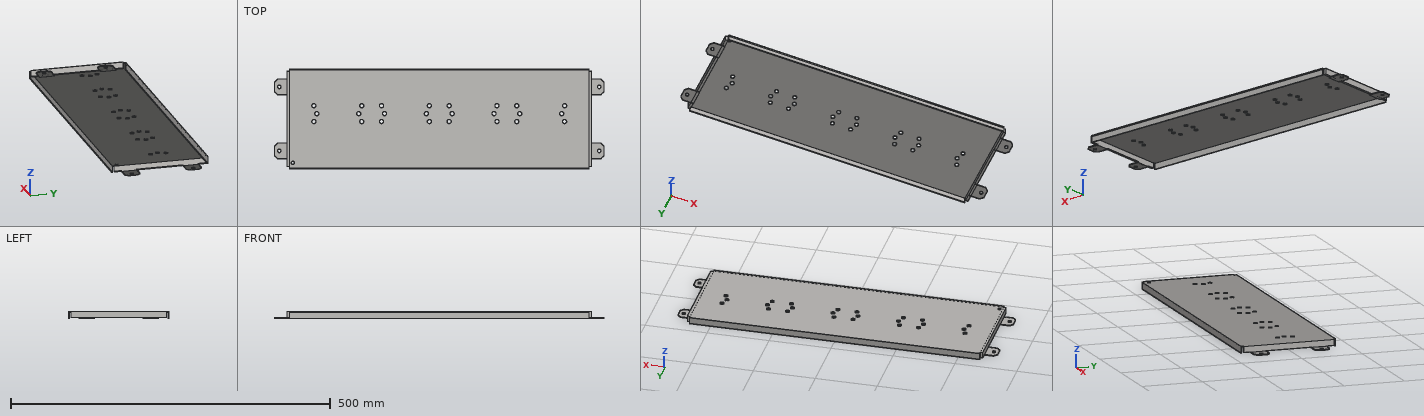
import cadquery as cq

total_length = 516.0
total_width = 157.0
total_height = 11.5

sheet = 1.5

tray_length = 477.0
end_wall = 4.0
end_flange_width = 149.5
side_flange_length = 468.5

tab_width = 25.0
tab_corner = 5.0
tab_spacing = 100.0
tab_hole_spacing_x = 500.5
tab_hole_diameter = 5.0

cluster_pitch = 106.0
cluster_y = 8.0
row_pitch = 12.5
outer_hole_offset = 15.5
middle_hole_offset = 20.0
cluster_hole_diameter = 6.0

last_cluster = 2

corner_hole_x = -229.0
corner_hole_y = -68.5
corner_hole_diameter = 4.5


def block(length, width, bottom, top):
    """Box centred on the Z axis, between two heights."""
    height = top - bottom
    solid = cq.Workplane("XY").box(length, width, height, centered=(True, True, False))
    return solid.translate((0, 0, bottom))


def make_tray():
    """Open-bottomed tray with notched corners; the end flanges stop above the tabs."""
    side_walls = block(side_flange_length, total_width, 0, total_height)
    end_walls = block(tray_length, end_flange_width, sheet, total_height)
    cavity = block(tray_length - 2 * end_wall, total_width - 2 * sheet, 0, total_height - sheet)
    return side_walls.union(end_walls).cut(cavity)


def make_tabs():
    """Tabs folded outwards from under the end flanges, with cut outer corners."""
    strip = block(total_length, tab_width, 0, sheet).edges("|Z").chamfer(tab_corner)
    gap = block(tray_length - 2 * end_wall, tab_width, 0, sheet)
    tab_pair = strip.cut(gap)
    front_tabs = tab_pair.translate((0, -tab_spacing / 2, 0))
    back_tabs = tab_pair.translate((0, tab_spacing / 2, 0))
    return front_tabs, back_tabs


def half_cluster(centre_x, side):
    """Three hole centres on one side (-1 or 1) of a cluster, the middle one farther out."""
    outer_x = centre_x + side * outer_hole_offset
    middle_x = centre_x + side * middle_hole_offset
    return [
        (outer_x, cluster_y - row_pitch),
        (middle_x, cluster_y),
        (outer_x, cluster_y + row_pitch),
    ]


def cluster_points():
    """Hole centres of all clusters; the two end clusters keep only their inward half."""
    points = []
    for index in range(-last_cluster, last_cluster + 1):
        for side in (-1, 1):
            faces_outwards = index * side == last_cluster
            if not faces_outwards:
                points += half_cluster(index * cluster_pitch, side)
    return points


def drills(points, diameter):
    """Cylinders through the full height at the given centres."""
    return cq.Workplane("XY").pushPoints(points).circle(diameter / 2).extrude(total_height)


tab_hole_points = [
    (side_x * tab_hole_spacing_x / 2, side_y * tab_spacing / 2)
    for side_x in (-1, 1)
    for side_y in (-1, 1)
]

result = make_tray()
for tabs in make_tabs():
    result = result.union(tabs)
result = result.cut(drills(cluster_points(), cluster_hole_diameter))
result = result.cut(drills(tab_hole_points, tab_hole_diameter))
result = result.cut(drills([(corner_hole_x, corner_hole_y)], corner_hole_diameter))